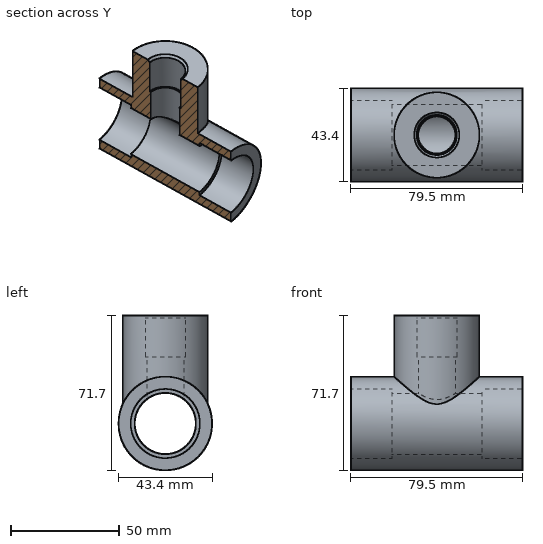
import cadquery as cq

run_length = 79.5
run_diameter = 43.4
run_bore_diameter = 28.2
socket_diameter = 32.0
socket_depth = 19.0

overall_height = 71.7
branch_diameter = 39.5
branch_top = overall_height - run_diameter / 2
branch_bore_diameter = 17.2
branch_socket_diameter = 18.6
branch_socket_depth = socket_depth
mouth_diameter = 20.9
mouth_chamfer = (mouth_diameter - branch_socket_diameter) / 2


def run_cylinder(diameter, start_x, length):
    """Cylinder on the run axis, from start_x towards +X."""
    return cq.Workplane("YZ", origin=(start_x, 0, 0)).circle(diameter / 2).extrude(length)


def branch_cylinder(diameter, depth):
    """Cylinder on the branch axis, from the branch top downwards."""
    return cq.Workplane("XY", origin=(0, 0, branch_top)).circle(diameter / 2).extrude(-depth)


run_start = -run_length / 2
body = run_cylinder(run_diameter, run_start, run_length).union(
    branch_cylinder(branch_diameter, branch_top)
)

body = body.cut(run_cylinder(run_bore_diameter, run_start, run_length))
for socket_start in (run_start, run_length / 2 - socket_depth):
    body = body.cut(run_cylinder(socket_diameter, socket_start, socket_depth))

body = body.cut(branch_cylinder(branch_bore_diameter, branch_top))
branch_socket = branch_cylinder(branch_socket_diameter, branch_socket_depth)
mouth_cone = cq.Workplane("XY").add(
    cq.Solid.makeCone(
        branch_socket_diameter / 2,
        mouth_diameter / 2,
        mouth_chamfer,
        pnt=cq.Vector(0, 0, branch_top - mouth_chamfer),
    )
)
result = body.cut(branch_socket).cut(mouth_cone)